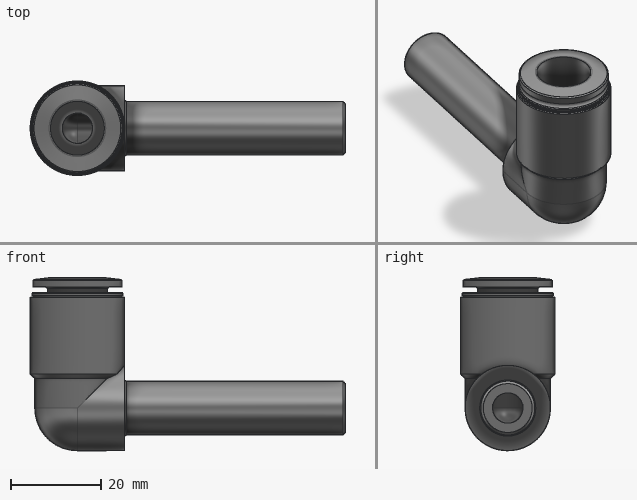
import cadquery as cq


body_diameter = 21.0
body_radius = body_diameter / 2
overall_length = 70.0
overall_height = 38.4
elbow_diameter = 19.0
elbow_radius = elbow_diameter / 2
stem_end = overall_length - body_radius
top = overall_height - elbow_radius

body_top = 24.7
body_bottom = 7.55
body_top_chamfer = 0.2
body_taper = body_radius - elbow_radius

ring_radius = 20.2 / 2
ring_groove_radius = 19.8 / 2
ring_bottom = 25.0
ring_top = 25.7
ring_chamfer = ring_radius - ring_groove_radius

button_radius = 19.8 / 2
button_crown_radius = 6.3
button_bottom = 26.9
button_edge = 28.55
button_edge_chamfer = 0.3
neck_radius = 13.4 / 2
neck_flare = 0.35

stem_diameter = 12.0
stem_radius = stem_diameter / 2
stem_collar_radius = 6.2
stem_collar_length = 0.35
stem_end_chamfer = 0.55

socket_radius = stem_radius
socket_floor = body_bottom
port_radius = 6.7 / 2


def make_elbow():
    """Two equal cylinders meeting in a ball."""
    ball = cq.Workplane("XY").sphere(elbow_radius)
    riser = cq.Workplane("XY").circle(elbow_radius).extrude(body_bottom)
    branch = cq.Workplane("YZ").circle(elbow_radius).extrude(body_radius)
    return ball.union(riser).union(branch)


def make_socket_body():
    """Turned profile of the body, retaining ring, neck and release button."""
    return (
        cq.Workplane("XZ")
        .moveTo(0, body_bottom - body_taper)
        .lineTo(elbow_radius, body_bottom - body_taper)
        .lineTo(body_radius, body_bottom)
        .lineTo(body_radius, body_top - body_top_chamfer)
        .lineTo(body_radius - body_top_chamfer, body_top)
        .lineTo(ring_groove_radius, body_top)
        .lineTo(ring_groove_radius, ring_bottom)
        .lineTo(ring_radius, ring_bottom)
        .lineTo(ring_radius, ring_top - ring_chamfer)
        .lineTo(ring_radius - ring_chamfer, ring_top)
        .lineTo(neck_radius, ring_top)
        .lineTo(neck_radius, button_bottom - neck_flare)
        .lineTo(neck_radius + neck_flare, button_bottom)
        .lineTo(button_radius, button_bottom)
        .lineTo(button_radius, button_edge - button_edge_chamfer)
        .lineTo(button_radius - button_edge_chamfer, button_edge)
        .lineTo(button_crown_radius, top)
        .lineTo(0, top)
        .close()
        .revolve(360, (0, 0, 0), (0, 1, 0))
    )


def make_stem():
    """Plain tube end with a short collar at the elbow face."""
    collar_end = body_radius + stem_collar_length
    return (
        cq.Workplane("XY")
        .moveTo(0, 0)
        .lineTo(0, stem_collar_radius)
        .lineTo(body_radius, stem_collar_radius)
        .lineTo(collar_end, stem_radius)
        .lineTo(stem_end - stem_end_chamfer, stem_radius)
        .lineTo(stem_end, stem_radius - stem_end_chamfer)
        .lineTo(stem_end, 0)
        .close()
        .revolve(360, (0, 0, 0), (1, 0, 0))
    )


def make_bores():
    """Stepped socket bore turning through a ball into the stem passage."""
    socket = (
        cq.Workplane("XY")
        .workplane(offset=socket_floor)
        .circle(socket_radius)
        .extrude(top - socket_floor)
    )
    port = cq.Workplane("XY").circle(port_radius).extrude(top)
    turn = cq.Workplane("XY").sphere(port_radius)
    passage = cq.Workplane("YZ").circle(port_radius).extrude(stem_end)
    return socket.union(port).union(turn).union(passage)


result = make_socket_body().union(make_stem()).union(make_elbow()).cut(make_bores())